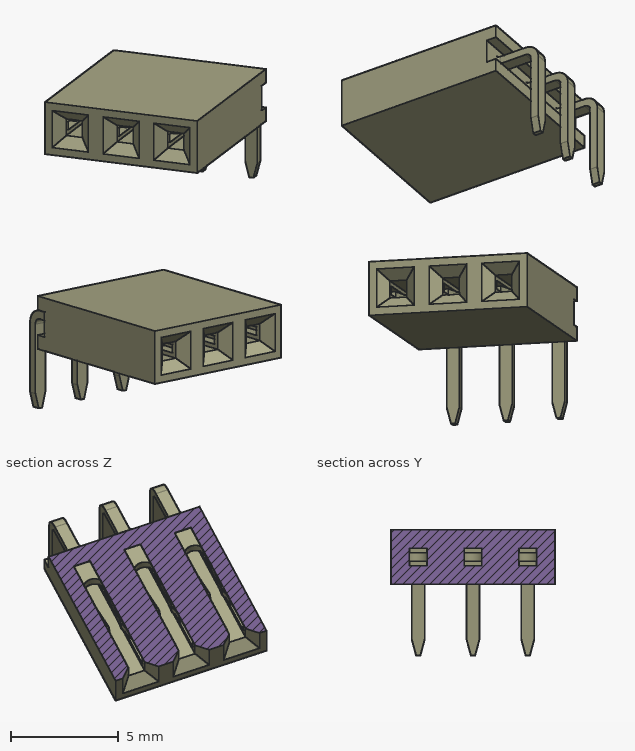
import cadquery as cq


POSITIONS = 3
PITCH = 2.54
HOUSING_WIDTH = POSITIONS * PITCH
HOUSING_HEIGHT = PITCH
HOUSING_LENGTH = 8.5
NOTCH_DEPTH = 0.5
NOTCH_HEIGHT = 1.2
NOTCH_FLOOR_Y = HOUSING_LENGTH - NOTCH_DEPTH

FUNNEL_OPENING = 1.81
BORE_SIZE = 0.81
FUNNEL_DEPTH = (FUNNEL_OPENING - BORE_SIZE) / 2
BORE_FLOOR_Y = 7.0
SLOT_SETBACK = 0.25
SLOT_START_Y = FUNNEL_DEPTH + SLOT_SETBACK
SLOT_WIDTH = 2.0

CONTACT_THICKNESS = 0.4
TAIL_WIDTH = 0.61
NECK_GAP = TAIL_WIDTH
NECK_Y = 3.06
LEAD_IN_LENGTH = 1.0
LEAD_IN_SPREAD = 0.27
FORK_ROOT_RADIUS = 0.5
FORK_ROOT_Y = 6.0
FLARE_RADIUS = 0.1
FLARE_END_Y = NOTCH_FLOOR_Y + FLARE_RADIUS

OVERALL_LENGTH = 10.2
OVERALL_HEIGHT = 5.84
BEND_INNER_RADIUS = 0.3
BEND_OUTER_RADIUS = BEND_INNER_RADIUS + CONTACT_THICKNESS
TAIL_BOTTOM_Z = HOUSING_HEIGHT / 2 - OVERALL_HEIGHT
TIP_LENGTH = 0.75
TIP_WIDTH = 0.2


def box_between(width, y_start, y_end, height):
    """Box centred on X and Z that spans y_start to y_end."""
    return cq.Workplane("XY").box(width, y_end - y_start, height).translate((0, (y_start + y_end) / 2, 0))


def make_housing():
    """Block with a notch across the middle of its back face."""
    housing = box_between(HOUSING_WIDTH, 0, HOUSING_LENGTH, HOUSING_HEIGHT)
    return housing.cut(box_between(HOUSING_WIDTH, NOTCH_FLOOR_Y, HOUSING_LENGTH, NOTCH_HEIGHT))


def make_socket():
    """Empty space of one socket."""
    funnel = (
        cq.Workplane("XZ")
        .rect(FUNNEL_OPENING, FUNNEL_OPENING)
        .workplane(offset=-FUNNEL_DEPTH)
        .rect(BORE_SIZE, BORE_SIZE)
        .loft(ruled=True)
    )
    bore = box_between(BORE_SIZE, FUNNEL_DEPTH, BORE_FLOOR_Y, BORE_SIZE)
    slot = box_between(SLOT_WIDTH, SLOT_START_Y, BORE_FLOOR_Y, CONTACT_THICKNESS)
    return funnel.union(bore).union(slot)


def make_fork():
    """Flat fork in the slot: the arms close to a neck and open again to a round root.

    Its base is embedded in the back wall and flares out of the tail at the notch floor.
    """
    half_slot = SLOT_WIDTH / 2
    half_neck = NECK_GAP / 2
    half_tip_gap = half_neck + LEAD_IN_SPREAD
    half_tail = TAIL_WIDTH / 2
    tip_y = NECK_Y - LEAD_IN_LENGTH
    root_center_y = FORK_ROOT_Y - FORK_ROOT_RADIUS
    return (
        cq.Workplane("XY")
        .workplane(offset=-CONTACT_THICKNESS / 2)
        .moveTo(half_tip_gap, tip_y)
        .lineTo(half_neck, NECK_Y)
        .lineTo(FORK_ROOT_RADIUS, root_center_y)
        .threePointArc((0, FORK_ROOT_Y), (-FORK_ROOT_RADIUS, root_center_y))
        .lineTo(-half_neck, NECK_Y)
        .lineTo(-half_tip_gap, tip_y)
        .lineTo(-half_slot, tip_y)
        .lineTo(-half_slot, NOTCH_FLOOR_Y)
        .lineTo(-half_tail - FLARE_RADIUS, NOTCH_FLOOR_Y)
        .radiusArc((-half_tail, FLARE_END_Y), -FLARE_RADIUS)
        .lineTo(half_tail, FLARE_END_Y)
        .radiusArc((half_tail + FLARE_RADIUS, NOTCH_FLOOR_Y), -FLARE_RADIUS)
        .lineTo(half_slot, NOTCH_FLOOR_Y)
        .lineTo(half_slot, tip_y)
        .close()
        .extrude(CONTACT_THICKNESS)
    )


def make_tail():
    """Strip that runs back from the fork, bends down and ends in a tapered tip."""
    top_z = CONTACT_THICKNESS / 2
    inner_y = OVERALL_LENGTH - CONTACT_THICKNESS
    bend_y = OVERALL_LENGTH - BEND_OUTER_RADIUS
    bend_z = top_z - BEND_OUTER_RADIUS
    strip = (
        cq.Workplane("YZ")
        .workplane(offset=-TAIL_WIDTH / 2)
        .moveTo(NOTCH_FLOOR_Y, top_z)
        .lineTo(bend_y, top_z)
        .radiusArc((OVERALL_LENGTH, bend_z), BEND_OUTER_RADIUS)
        .lineTo(OVERALL_LENGTH, TAIL_BOTTOM_Z)
        .lineTo(inner_y, TAIL_BOTTOM_Z)
        .lineTo(inner_y, bend_z)
        .radiusArc((bend_y, -top_z), -BEND_INNER_RADIUS)
        .lineTo(NOTCH_FLOOR_Y, -top_z)
        .close()
        .extrude(TAIL_WIDTH)
    )
    for side in (-1, 1):
        corner = (
            cq.Workplane("XZ", origin=(0, OVERALL_LENGTH, 0))
            .moveTo(side * TIP_WIDTH / 2, TAIL_BOTTOM_Z)
            .lineTo(side * TAIL_WIDTH / 2, TAIL_BOTTOM_Z)
            .lineTo(side * TAIL_WIDTH / 2, TAIL_BOTTOM_Z + TIP_LENGTH)
            .close()
            .extrude(CONTACT_THICKNESS)
        )
        strip = strip.cut(corner)
    return strip


socket = make_socket()
contact = make_fork().union(make_tail())

result = make_housing()
for position in range(POSITIONS):
    x = (position - (POSITIONS - 1) / 2) * PITCH
    result = result.cut(socket.translate((x, 0, 0)))
    result = result.union(contact.translate((x, 0, 0)))